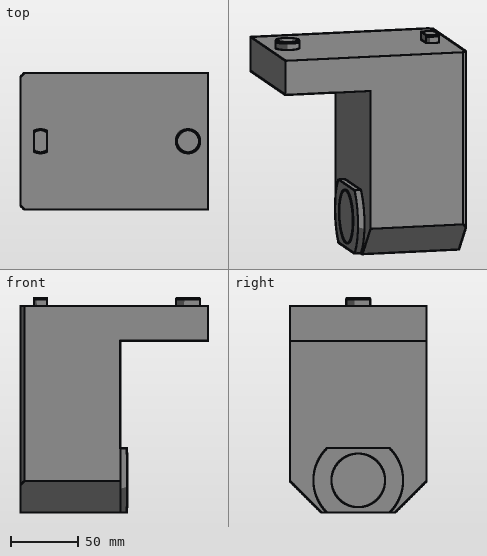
import cadquery as cq

total_length = 140.0
width = 102.0
total_height = 160.0

pin_height = 6.0
pin_diameter = 18.0
pin_lead_in_height = 1.2
pin_lead_in_radial = 0.7
flattened_pin_thickness = 10.0
pin_edge_distance = 15.0

body_height = total_height - pin_height
column_length = 74.5
arm_thickness = 26.0
vertical_chamfer = 3.0
bottom_chamfer = 23.5

flange_diameter = 67.0
flange_flat_height = 48.0
flange_thickness = 5.0
spigot_diameter = 40.01
spigot_length = 0.5


def make_body():
    """L-shaped block with the rear corners and lower side edges chamfered."""
    column = cq.Workplane("XY").box(column_length, width, body_height, centered=(False, True, False))
    column = column.faces("<Z").edges("|X").chamfer(bottom_chamfer)
    arm = (
        cq.Workplane("XY")
        .workplane(offset=body_height - arm_thickness)
        .box(total_length, width, arm_thickness, centered=(False, True, False))
    )
    plan_outline = (
        cq.Workplane("XY")
        .box(total_length, width, body_height, centered=(False, True, False))
        .edges("|Z and <X")
        .chamfer(vertical_chamfer)
    )
    return column.union(arm).intersect(plan_outline)


def make_pin(x_position):
    """Round locating pin with a conical lead-in at its top."""
    return (
        cq.Workplane("XY")
        .workplane(offset=body_height)
        .center(x_position, 0)
        .circle(pin_diameter / 2)
        .extrude(pin_height)
        .faces(">Z")
        .chamfer(pin_lead_in_height, pin_lead_in_radial)
    )


def make_flattened_pin(x_position):
    """Locating pin with two parallel flats facing along X."""
    flats = (
        cq.Workplane("XY")
        .workplane(offset=body_height)
        .center(x_position, 0)
        .box(flattened_pin_thickness, pin_diameter, pin_height, centered=(True, True, False))
    )
    return make_pin(x_position).intersect(flats)


def make_flange():
    """Disc with flats above and below and a shallow raised spigot, facing +X."""
    face_plane = cq.Workplane("YZ", origin=(column_length, 0, flange_flat_height / 2))
    disc = face_plane.circle(flange_diameter / 2).extrude(flange_thickness)
    flats = face_plane.rect(flange_diameter, flange_flat_height).extrude(flange_thickness)
    spigot = face_plane.circle(spigot_diameter / 2).extrude(flange_thickness + spigot_length)
    return disc.intersect(flats).union(spigot)


result = (
    make_body()
    .union(make_flattened_pin(pin_edge_distance))
    .union(make_pin(total_length - pin_edge_distance))
    .union(make_flange())
)